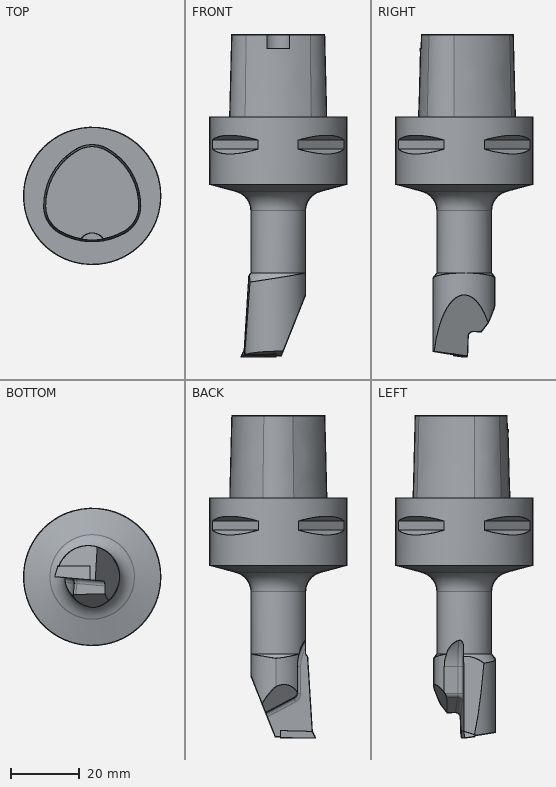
import cadquery as cq
import math


SHANK_LENGTH = 24.0
LOBE_RADIUS = 9.0
LOBE_OFFSET = 5.9
FLANK_RADIUS = LOBE_RADIUS + LOBE_OFFSET * math.sqrt(3)
SHANK_INSET = SHANK_LENGTH / 40
KEY_RADIUS = 3.95
KEY_CENTER_Y = -14.8
KEY_DEPTH = 4.0

FLANGE_RADIUS = 20.0
FLANGE_BOTTOM = -19.6
NECK_RADIUS = 8.0
CONE_ANGLE = math.radians(15)
NECK_FILLET = 5.8

GROOVE_Z = -8.1
GROOVE_FLOOR_DISTANCE = 17.7
GROOVE_FLOOR_HEIGHT = 2.6
GROOVE_MOUTH_HEIGHT = 5.45
GROOVE_COUNT = 4

HEAD_TOP = -45.5
HEAD_RADIUS = 9.1
HEAD_CENTER_X = NECK_RADIUS - HEAD_RADIUS
SHOULDER_SLOPE = 1.3
TIP_Z = -70.0
END_Z = -69.75
END_RELIEF = 0.14
END_LEAN = 0.02
BACK_SLANT_TOP_Z = -51.9
BACK_SLANT_FOOT_X = 0.75
BACK_CENTER = (0.75, 0.9)

FLAT_X = -8.51
FLAT_LEAN = 0.063
FLAT_RELIEF = 0.08

RAKE_ANGLE = 5
RAKE_EDGE_X = -10.3
POCKET_FLOOR_X = -5.1
POCKET_FLOOR_TOP = -49.1
POCKET_FLOOR_BOTTOM = -57.8
RUNOUT_RADIUS = 12.2
UNDERCUT_SLOPE = 0.53
POCKET_FILLET = 1.4
POCKET_LIP_FILLET = 1.4
CLEARANCE_POINT = (-5.5, 6.0, -56.4)
CLEARANCE_NORMAL = (-0.26, 0.81, -0.52)

INSERT_TOP = -68.1
INSERT_TOP_FALL = 0.3
INSERT_BACK_Y = -3.1
INSERT_FRONT_Y = 1.4
INSERT_END_X = -0.6
INSERT_FLARE = 0.5

REACH = 56.4


def outside(point, normal):
    """Large block that fills the side of a plane its normal points to."""
    plane = cq.Plane(origin=point, normal=normal)
    return cq.Workplane(plane).rect(REACH, REACH).extrude(REACH)


def flat_x(y, z):
    """X of the side flat at a given Y and Z."""
    return FLAT_X - FLAT_LEAN * (HEAD_TOP - z) - FLAT_RELIEF * y


def lobed_outline(base, inset):
    """Three lobe arcs joined by three flank arcs, all moved inward by the inset."""
    def arc_point(center_angle, radius, angle):
        center, direction = math.radians(center_angle), math.radians(angle)
        return (LOBE_OFFSET * math.cos(center) + radius * math.cos(direction),
                LOBE_OFFSET * math.sin(center) + radius * math.sin(direction))

    lobe = LOBE_RADIUS - inset
    flank = FLANK_RADIUS - inset
    outline = base.moveTo(*arc_point(90, lobe, 60))
    for angle in (90, 210, 330):
        outline = outline.threePointArc(arc_point(angle, lobe, angle), arc_point(angle, lobe, angle + 30))
        outline = outline.threePointArc(
            arc_point(angle - 120, flank, angle + 60), arc_point(angle - 120, flank, angle + 90))
    return outline.close()


def make_shank():
    root = lobed_outline(cq.Workplane("XY"), 0)
    shank = lobed_outline(root.workplane(offset=SHANK_LENGTH), SHANK_INSET).loft(ruled=True)
    key = (cq.Workplane("XY", origin=(0, KEY_CENTER_Y, SHANK_LENGTH - KEY_DEPTH))
           .circle(KEY_RADIUS).extrude(KEY_DEPTH))
    return shank.cut(key)


def make_flange_and_neck():
    fillet_center_r = NECK_RADIUS + NECK_FILLET
    cone_end_r = fillet_center_r - NECK_FILLET * math.sin(CONE_ANGLE)
    cone_end_z = FLANGE_BOTTOM - (FLANGE_RADIUS - cone_end_r) * math.tan(CONE_ANGLE)
    fillet_center_z = cone_end_z - NECK_FILLET * math.cos(CONE_ANGLE)
    middle = (math.pi + CONE_ANGLE + math.pi / 2) / 2
    fillet_middle = (fillet_center_r + NECK_FILLET * math.cos(middle),
                     fillet_center_z + NECK_FILLET * math.sin(middle))
    return (cq.Workplane("XZ")
            .lineTo(FLANGE_RADIUS, 0)
            .lineTo(FLANGE_RADIUS, FLANGE_BOTTOM)
            .lineTo(cone_end_r, cone_end_z)
            .threePointArc(fillet_middle, (NECK_RADIUS, fillet_center_z))
            .lineTo(NECK_RADIUS, HEAD_TOP)
            .lineTo(0, HEAD_TOP)
            .close()
            .revolve(360, (0, 0, 0), (0, 1, 0)))


def make_gripper_groove(angle):
    """Groove with sloping sides, cut straight across the flange rim."""
    floor = GROOVE_FLOOR_HEIGHT / 2
    mouth = GROOVE_MOUTH_HEIGHT / 2
    return (cq.Workplane("XZ")
            .polyline([(GROOVE_FLOOR_DISTANCE, GROOVE_Z - floor), (FLANGE_RADIUS, GROOVE_Z - mouth),
                       (FLANGE_RADIUS, GROOVE_Z + mouth), (GROOVE_FLOOR_DISTANCE, GROOVE_Z + floor)])
            .close()
            .extrude(FLANGE_RADIUS, both=True)
            .rotate((0, 0, 0), (0, 0, 1), angle))


def make_back_rounding():
    """Cutter that rounds the +Y half of the head behind the chip pocket."""
    back_x, back_y = BACK_CENTER
    rounded = (cq.Workplane("XY", origin=(back_x, back_y, TIP_Z))
               .circle(NECK_RADIUS).extrude(HEAD_TOP - TIP_Z))
    half = (cq.Workplane("XY", origin=(back_x, back_y + REACH / 2, TIP_Z))
            .rect(REACH, REACH).extrude(HEAD_TOP - TIP_Z))
    return half.cut(rounded)


def make_head_blank():
    """Off-center cylinder below a conical shoulder, trimmed by its outer faces."""
    blank = (cq.Workplane("XY", origin=(HEAD_CENTER_X, 0, TIP_Z))
             .circle(HEAD_RADIUS).extrude(HEAD_TOP - TIP_Z))
    shoulder_radius = 2 * NECK_RADIUS
    shoulder_z = HEAD_TOP - (shoulder_radius - NECK_RADIUS) * SHOULDER_SLOPE
    envelope = (cq.Workplane("XZ")
                .polyline([(0, HEAD_TOP), (NECK_RADIUS, HEAD_TOP), (shoulder_radius, shoulder_z),
                           (shoulder_radius, TIP_Z), (0, TIP_Z)])
                .close()
                .revolve(360, (0, 0, 0), (0, 1, 0)))
    blank = blank.intersect(envelope)

    slant_height = BACK_SLANT_TOP_Z - TIP_Z
    slant_width = NECK_RADIUS - BACK_SLANT_FOOT_X
    blank = blank.cut(outside((NECK_RADIUS, 0, BACK_SLANT_TOP_Z), (slant_height, 0, -slant_width)))
    blank = blank.cut(outside((FLAT_X, 0, HEAD_TOP), (-1, -FLAT_RELIEF, FLAT_LEAN)))
    blank = blank.cut(outside((RAKE_EDGE_X, 0, END_Z), (END_LEAN, -END_RELIEF, -1)))
    return blank.cut(make_back_rounding())


def make_chip_pocket():
    """Cutter for the pocket: it stands on the rake face and opens toward +Y."""
    runout_x = POCKET_FLOOR_X - RUNOUT_RADIUS
    runout_middle = (runout_x + RUNOUT_RADIUS * math.cos(math.pi / 4),
                     POCKET_FLOOR_TOP + RUNOUT_RADIUS * math.sin(math.pi / 4))
    undercut_end_x = 2 * NECK_RADIUS
    undercut_end_z = POCKET_FLOOR_BOTTOM - (undercut_end_x - POCKET_FLOOR_X) * UNDERCUT_SLOPE
    pocket = (cq.Workplane("XZ")
              .moveTo(POCKET_FLOOR_X, POCKET_FLOOR_BOTTOM)
              .lineTo(POCKET_FLOOR_X, POCKET_FLOOR_TOP)
              .threePointArc(runout_middle, (runout_x, POCKET_FLOOR_TOP + RUNOUT_RADIUS))
              .lineTo(runout_x, TIP_Z - RUNOUT_RADIUS)
              .lineTo(undercut_end_x, TIP_Z - RUNOUT_RADIUS)
              .lineTo(undercut_end_x, undercut_end_z)
              .close()
              .extrude(-REACH))
    lip = cq.selectors.NearestToPointSelector((POCKET_FLOOR_X, REACH / 2, POCKET_FLOOR_BOTTOM))
    floor_root = cq.selectors.NearestToPointSelector(
        (POCKET_FLOOR_X, 0, (POCKET_FLOOR_TOP + POCKET_FLOOR_BOTTOM) / 2))
    pocket = pocket.edges(lip).fillet(POCKET_LIP_FILLET)
    pocket = pocket.edges(floor_root).fillet(POCKET_FILLET)
    return pocket.rotate((RAKE_EDGE_X, 0, 0), (RAKE_EDGE_X, 0, 1), RAKE_ANGLE)


def make_pocket_clearance():
    """Slanting cut below the pocket, on the +Y side of the rake face."""
    rake = math.radians(RAKE_ANGLE)
    rake_side = outside((RAKE_EDGE_X, 0, HEAD_TOP), (-math.sin(rake), math.cos(rake), 0))
    return outside(CLEARANCE_POINT, CLEARANCE_NORMAL).intersect(rake_side)


def make_insert(pocket):
    """Small flared plate with relief behind its side and end edges."""
    def section(base, y):
        top = INSERT_TOP + INSERT_TOP_FALL * y
        bottom = TIP_Z - END_RELIEF * y
        corner_x = flat_x(y, top)
        tip_x = corner_x - INSERT_FLARE * (top - bottom)
        end_bottom = bottom + END_LEAN * (INSERT_END_X - tip_x)
        return base.polyline([(corner_x, top), (tip_x, bottom), (INSERT_END_X, end_bottom),
                              (INSERT_END_X, top)]).close()

    front = section(cq.Workplane("XZ", origin=(0, INSERT_FRONT_Y, 0)), INSERT_FRONT_Y)
    plate = section(front.workplane(offset=INSERT_FRONT_Y - INSERT_BACK_Y), INSERT_BACK_Y).loft(ruled=True)
    return plate.cut(pocket)


def make_holder(pocket, insert):
    holder = make_flange_and_neck().union(make_shank()).union(make_head_blank())
    for index in range(GROOVE_COUNT):
        holder = holder.cut(make_gripper_groove(45 + index * 360 / GROOVE_COUNT))
    return holder.cut(pocket).cut(make_pocket_clearance()).cut(insert)


chip_pocket = make_chip_pocket()
insert = make_insert(chip_pocket)
holder = make_holder(chip_pocket, insert)

result = cq.Compound.makeCompound([holder.solids().val(), insert.solids().val()])